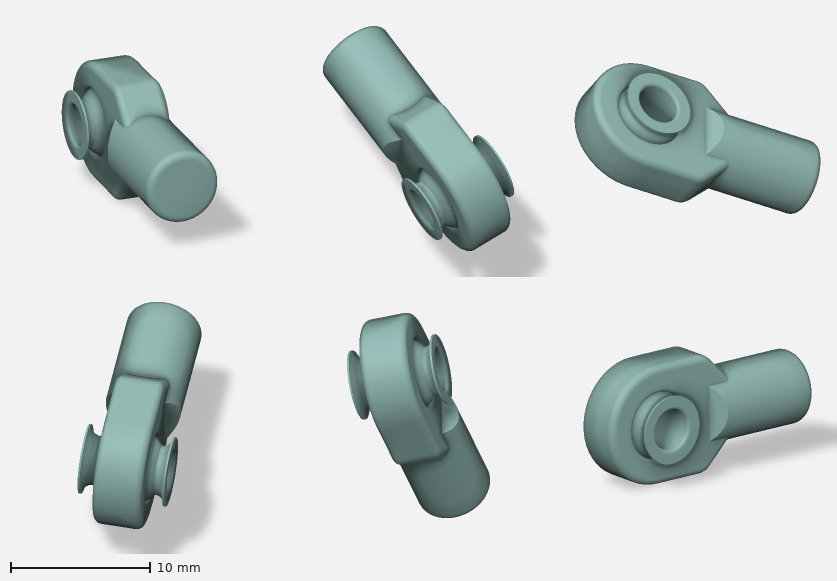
import cadquery as cq
import math

overall_length = 18.03
sleeve_length = 6.35
head_radius = 8.89 / 2

head_thickness = 3.55
head_fillet = 0.5
corner_x = 4.44
corner_round = 1.33
shank_radius = 2.74
shank_end_x = overall_length - head_radius
shank_end_fillet = 0.54
shank_start_x = 4.56
shoulder_end_z = 1.45

ball_radius = 2.88
seat_lip_fillet = 0.25

neck_radius = 1.78
flange_radius = 2.52
flange_thickness = 0.15
bore_radius = 1.51
bore_mouth_fillet = 0.25


def along_y(radius, length):
    """Cylinder centred on the eye axis."""
    return cq.Workplane("XZ").circle(radius).extrude(length / 2, both=True)


def make_head():
    """Round-ended plate tapering at 45 degrees into the shank, with rounded edges."""
    half_turn = math.radians(45) / 2
    tip_x = corner_x + head_radius - shoulder_end_z
    corner_setback = corner_round * math.tan(half_turn)
    diagonal_setback = corner_setback * math.sqrt(0.5)
    side_end_x = corner_x - corner_setback
    shoulder_start_x = corner_x + diagonal_setback
    shoulder_start_z = head_radius - diagonal_setback
    round_mid_x = side_end_x + corner_round * math.sin(half_turn)
    round_mid_z = head_radius - corner_round * (1 - math.cos(half_turn))
    outline = (
        cq.Workplane("XZ")
        .moveTo(0, head_radius)
        .lineTo(side_end_x, head_radius)
        .threePointArc((round_mid_x, round_mid_z), (shoulder_start_x, shoulder_start_z))
        .lineTo(tip_x, shoulder_end_z)
        .lineTo(tip_x, -shoulder_end_z)
        .lineTo(shoulder_start_x, -shoulder_start_z)
        .threePointArc((round_mid_x, -round_mid_z), (side_end_x, -head_radius))
        .lineTo(0, -head_radius)
        .threePointArc((-head_radius, 0), (0, head_radius))
        .close()
    )
    plate = outline.extrude(head_thickness / 2, both=True)
    return plate.faces("<Y or >Y").edges("not >X").fillet(head_fillet)


def make_shank():
    """Round rod with a rounded free end and two 45 degree cuts at the head end."""
    rod = (
        cq.Workplane("YZ", origin=(shank_start_x, 0, 0))
        .circle(shank_radius)
        .extrude(shank_end_x - shank_start_x)
        .faces(">X")
        .edges()
        .fillet(shank_end_fillet)
    )
    cut_run = shank_radius - head_thickness / 2
    full_width_x = shank_start_x + cut_run
    envelope = (
        cq.Workplane("XY")
        .moveTo(shank_start_x, head_thickness / 2)
        .lineTo(full_width_x, shank_radius)
        .lineTo(shank_end_x, shank_radius)
        .lineTo(shank_end_x, -shank_radius)
        .lineTo(full_width_x, -shank_radius)
        .lineTo(shank_start_x, -head_thickness / 2)
        .close()
        .extrude(shank_radius, both=True)
    )
    return rod.intersect(envelope)


def seat_rim_selector():
    """Box around the circles where the seat breaks through the head faces."""
    rim_radius = math.sqrt(ball_radius**2 - (head_thickness / 2) ** 2)
    half_box = rim_radius + seat_lip_fillet
    corner = (half_box, head_thickness, half_box)
    return cq.selectors.BoxSelector(tuple(-size for size in corner), corner, boundingbox=True)


def make_housing():
    """Head and shank in one piece, with a spherical seat open at both faces and rounded rims."""
    seat = cq.Workplane("XY").sphere(ball_radius)
    head = make_head().cut(seat)
    head = head.faces("<Y or >Y").edges(seat_rim_selector()).fillet(seat_lip_fillet)
    return head.union(make_shank())


def make_ball():
    """Ball with a plain through hole for the sleeve."""
    sphere = cq.Workplane("XY").sphere(ball_radius)
    return sphere.cut(along_y(neck_radius, 2 * ball_radius))


def make_sleeve():
    """Tube whose ends flare in quarter arcs to thin flanges."""
    end_y = sleeve_length / 2
    flare_radius = flange_radius - neck_radius
    flare_end_y = end_y - flange_thickness
    flare_start_y = flare_end_y - flare_radius
    flare_mid_offset = flare_radius * math.sqrt(0.5)
    flare_mid_x = flange_radius - flare_mid_offset
    flare_mid_y = flare_start_y + flare_mid_offset
    mouth_radius = bore_radius + bore_mouth_fillet
    mouth_y = end_y - bore_mouth_fillet
    mouth_mid_offset = bore_mouth_fillet * math.sqrt(0.5)
    mouth_mid_x = mouth_radius - mouth_mid_offset
    mouth_mid_y = mouth_y + mouth_mid_offset
    profile = (
        cq.Workplane("XY")
        .moveTo(neck_radius, -flare_start_y)
        .lineTo(neck_radius, flare_start_y)
        .threePointArc((flare_mid_x, flare_mid_y), (flange_radius, flare_end_y))
        .lineTo(flange_radius, end_y)
        .lineTo(mouth_radius, end_y)
        .threePointArc((mouth_mid_x, mouth_mid_y), (bore_radius, mouth_y))
        .lineTo(bore_radius, -mouth_y)
        .threePointArc((mouth_mid_x, -mouth_mid_y), (mouth_radius, -end_y))
        .lineTo(flange_radius, -end_y)
        .lineTo(flange_radius, -flare_end_y)
        .threePointArc((flare_mid_x, -flare_mid_y), (neck_radius, -flare_start_y))
        .close()
    )
    return profile.revolve(360, (0, 0, 0), (0, 1, 0))


housing = make_housing()
ball = make_ball()
sleeve = make_sleeve()

result = cq.Compound.makeCompound([housing.val(), ball.val(), sleeve.val()])